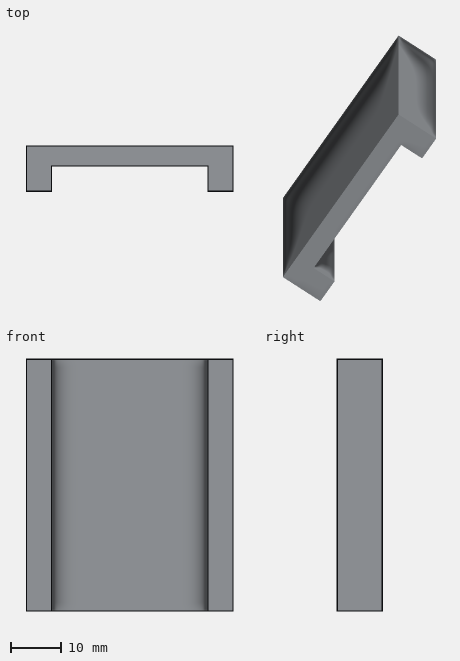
import cadquery as cq

width = 41.0
depth = 9.0
height = 50.0
flange_thickness = 5.0
web_thickness = 4.0

channel_width = width - 2 * flange_thickness
channel_depth = depth - web_thickness


def make_block():
    """Solid block with its front face at Y = 0 and its base at Z = 0."""
    return cq.Workplane("XY").box(width, depth, height, centered=(True, False, False))


def make_channel():
    """Full-height channel that opens through the front face."""
    return cq.Workplane("XY").box(channel_width, channel_depth, height, centered=(True, False, False))


result = make_block().cut(make_channel())